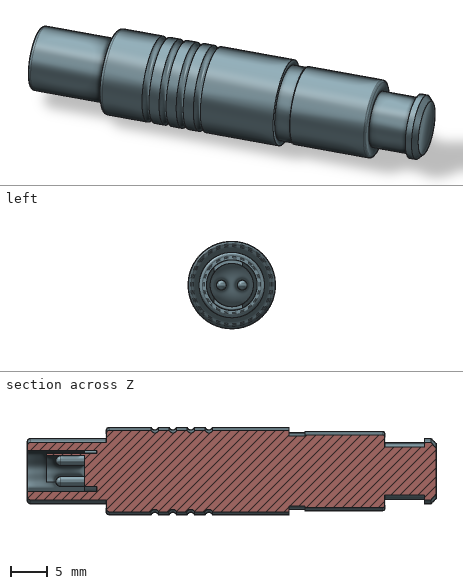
import cadquery as cq
LENGTH = 56.0
GRIP_START = 10.8
GRIP_END = 35.85
COLLAR_START = 38.0
COLLAR_END = 48.95
FLANGE_START = 54.4

NOSE_RADIUS = 4.5
GRIP_RADIUS = 6.0
NECK_RADIUS = 5.25
COLLAR_RADIUS = 5.45
STEM_RADIUS = 3.9
FLANGE_RADIUS = 4.5

FRONT_FILLET = 0.45
COLLAR_FILLET = 0.3
FLANGE_CHAMFER = 0.7

GROOVE_COUNT = 4
GROOVE_START = 16.95
GROOVE_PITCH = 2.45
GROOVE_WIDTH = 1.0
GROOVE_DEPTH = 0.35

BORE_RADIUS = 3.5
BORE_DEPTH = 9.5
CORE_RADIUS = 2.95
CORE_FACE = 7.85

SHELL_FACE = 2.65
SHELL_Y_MIN = -1.45
SHELL_Y_MAX = 2.45

PIN_RADIUS = 0.7
PIN_SPACING = 2.85
PIN_TIP = 3.9


def rod(start, end, radius):
    """Cylinder on the X axis between two stations."""
    return cq.Workplane("YZ", origin=(start, 0, 0)).circle(radius).extrude(end - start)


def outer_body():
    nose = rod(0, GRIP_START, NOSE_RADIUS).faces("<X").edges().fillet(FRONT_FILLET)
    grip = rod(GRIP_START, GRIP_END, GRIP_RADIUS).faces("<X").edges().fillet(FRONT_FILLET)
    neck = rod(GRIP_END, COLLAR_START, NECK_RADIUS)
    collar = rod(COLLAR_START, COLLAR_END, COLLAR_RADIUS).faces(">X").edges().fillet(COLLAR_FILLET)
    stem = rod(COLLAR_END, FLANGE_START, STEM_RADIUS)
    flange = rod(FLANGE_START, LENGTH, FLANGE_RADIUS).faces(">X").edges().chamfer(FLANGE_CHAMFER)
    return nose.union(grip).union(neck).union(collar).union(stem).union(flange)


def grip_groove(start):
    """Ring with an arc-shaped section, cut into the grip surface."""
    middle = start + GROOVE_WIDTH / 2
    end = start + GROOVE_WIDTH
    return (
        cq.Workplane("XY")
        .moveTo(start, GRIP_RADIUS)
        .threePointArc((middle, GRIP_RADIUS - GROOVE_DEPTH), (end, GRIP_RADIUS))
        .lineTo(end, GRIP_RADIUS + GROOVE_DEPTH)
        .lineTo(start, GRIP_RADIUS + GROOVE_DEPTH)
        .close()
        .revolve(360, (0, 0, 0), (1, 0, 0))
    )


def guide_shells():
    """Two ring segments, above and below the core."""
    ring = rod(SHELL_FACE, BORE_DEPTH, BORE_RADIUS).cut(rod(SHELL_FACE, BORE_DEPTH, CORE_RADIUS))
    slab = cq.Workplane("XY").box(
        BORE_DEPTH, SHELL_Y_MAX - SHELL_Y_MIN, 2 * BORE_RADIUS, centered=(False, False, True)
    )
    return ring.intersect(slab.translate((0, SHELL_Y_MIN, 0)))


def contact_pin(y):
    tip_center = PIN_TIP + PIN_RADIUS
    shank = rod(tip_center, BORE_DEPTH, PIN_RADIUS)
    tip = cq.Workplane("XY", origin=(tip_center, 0, 0)).sphere(PIN_RADIUS)
    return shank.union(tip).translate((0, y, 0))


result = outer_body()
for index in range(GROOVE_COUNT):
    result = result.cut(grip_groove(GROOVE_START + index * GROOVE_PITCH))

result = result.cut(rod(0, BORE_DEPTH, BORE_RADIUS))
result = result.union(rod(CORE_FACE, BORE_DEPTH, CORE_RADIUS))
result = result.union(guide_shells())
for side in (-1, 1):
    result = result.union(contact_pin(side * PIN_SPACING / 2))